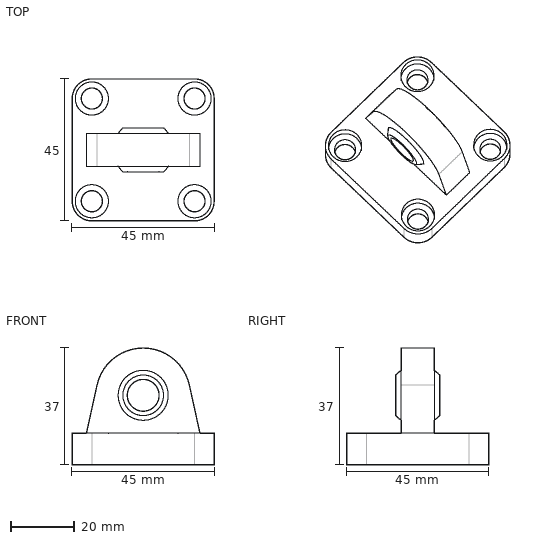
import cadquery as cq
import math

plate_side = 45.0
plate_height = 10.0
bolt_spacing = 32.5
corner_radius = (plate_side - bolt_spacing) / 2
bolt_hole_diameter = 6.6
counterbore_diameter = 10.5
counterbore_depth = 4.5

lug_thickness = 10.5
lug_foot_width = 36.0
lug_radius = 15.0
pivot_height = 22.0

ball_diameter = 19.0
ball_width = 14.0
ball_bore_diameter = 10.0


def make_plate():
    """Square plate with rounded corners, underside at Z = 0."""
    return (
        cq.Workplane("XY")
        .rect(plate_side, plate_side)
        .extrude(plate_height)
        .edges("|Z")
        .fillet(corner_radius)
    )


def make_lug():
    """Upright lug whose straight flanks run tangentially into its round top."""
    foot_x = lug_foot_width / 2
    foot_drop = pivot_height - plate_height
    foot_distance = math.hypot(foot_x, foot_drop)
    tangent_angle = math.acos(lug_radius / foot_distance) - math.atan2(foot_drop, foot_x)
    tangent_x = lug_radius * math.cos(tangent_angle)
    tangent_z = pivot_height + lug_radius * math.sin(tangent_angle)
    return (
        cq.Workplane("XZ")
        .moveTo(-foot_x, plate_height)
        .lineTo(foot_x, plate_height)
        .lineTo(tangent_x, tangent_z)
        .threePointArc((0, pivot_height + lug_radius), (-tangent_x, tangent_z))
        .close()
        .extrude(lug_thickness / 2, both=True)
    )


def make_sphere():
    """Full sphere of the ball, with its poles along Y, at the pivot."""
    return (
        cq.Workplane("XY")
        .sphere(ball_diameter / 2)
        .rotate((0, 0, 0), (1, 0, 0), 90)
        .translate((0, 0, pivot_height))
    )


def cylinder_along_y(diameter, length):
    """Cylinder centred on the pivot, with its axis along Y."""
    return (
        cq.Workplane("XZ")
        .center(0, pivot_height)
        .circle(diameter / 2)
        .extrude(length / 2, both=True)
    )


def make_bracket():
    """Plate and lug in one piece, with a spherical seat and counterbored bolt holes."""
    return (
        make_plate()
        .union(make_lug())
        .cut(make_sphere())
        .copyWorkplane(cq.Workplane("XY", origin=(0, 0, plate_height)))
        .rect(bolt_spacing, bolt_spacing, forConstruction=True)
        .vertices()
        .cboreHole(bolt_hole_diameter, counterbore_diameter, counterbore_depth)
    )


def make_ball():
    """Sphere cut flat on both sides and bored through along Y."""
    return (
        make_sphere()
        .intersect(cylinder_along_y(ball_diameter, ball_width))
        .cut(cylinder_along_y(ball_bore_diameter, ball_width))
    )


bracket = make_bracket()
ball = make_ball()

result = cq.Compound.makeCompound([bracket.solids().val(), ball.solids().val()])